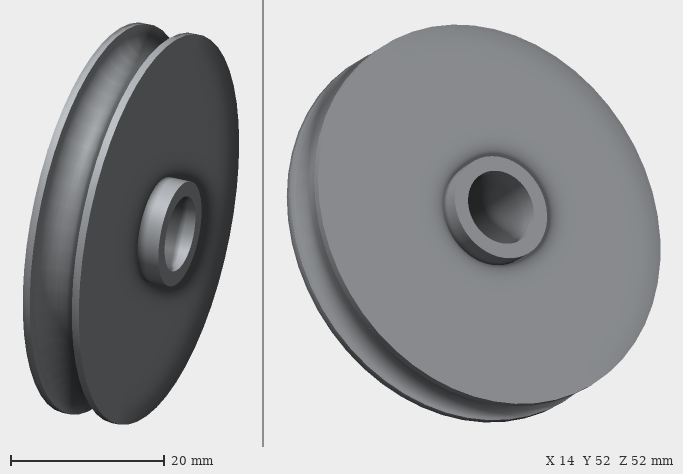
import cadquery as cq

rim_diameter = 52.0
rim_width = 8.0
hub_diameter = 14.0
hub_length = 14.0
bore_diameter = 10.0
groove_radius = 3.0
groove_depth = 3.5

rim_radius = rim_diameter / 2
groove_floor_radius = rim_radius - groove_depth
groove_center_radius = groove_floor_radius + groove_radius


def disc(diameter, length):
    """Solid cylinder on the X axis, centred on the origin."""
    return cq.Workplane("YZ").circle(diameter / 2).extrude(length / 2, both=True)


def rope_groove():
    """Ring with a round floor and straight walls up to the rim."""
    return (
        cq.Workplane("XY")
        .moveTo(-groove_radius, rim_radius)
        .lineTo(-groove_radius, groove_center_radius)
        .threePointArc((0, groove_floor_radius), (groove_radius, groove_center_radius))
        .lineTo(groove_radius, rim_radius)
        .close()
        .revolve(360, (0, 0, 0), (1, 0, 0))
    )


wheel = disc(rim_diameter, rim_width).cut(rope_groove())
hub = disc(hub_diameter, hub_length)
bore = disc(bore_diameter, hub_length)

result = wheel.union(hub).cut(bore)